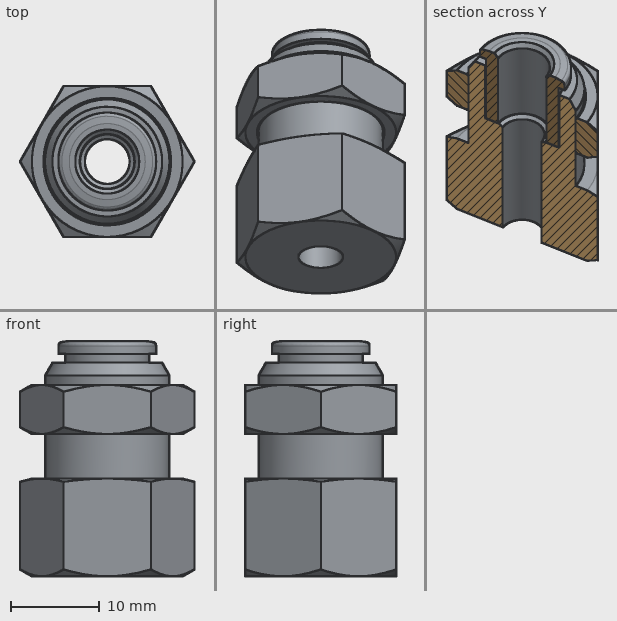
import cadquery as cq
import math

total_height = 26.5
base_hex_height = 11.0
nut_bottom = 16.0
nut_top = 21.55
body_top = 24.04
flange_bottom = 25.02
sleeve_bottom = 15.9

hex_across_flats = 17.0
hex_across_corners = hex_across_flats / math.cos(math.radians(30))
hex_face_diameter = 16.95
steep_bevel_angle = 30.0
shallow_bevel_angle = 15.0

barrel_diameter = 14.0
barrel_nose_diameter = 12.35
barrel_nose_angle = 30.0
passage_diameter = 5.0
seat_diameter = 6.1
recess_diameter = 9.6
seat_angle = 30.0

nut_countersink = 0.19

sleeve_diameter = 9.5
sleeve_bore_diameter = 6.2
flange_diameter = 11.02
entry_diameter = 7.2
entry_angle = 45.0
crown_flat_diameter = 8.55
crown_drop = 0.19
crown_fillet = 0.48


def revolve_profile(points):
    """Turn a closed (radius, height) outline around the Z axis."""
    return cq.Workplane("XZ").polyline(points).close().revolve(360, (0, 0, 0), (0, 1, 0))


def beveled_hexagon(bottom, top, bottom_angle, top_angle):
    """Hexagonal prism whose corners are cut by a cone at each end."""
    prism = (
        cq.Workplane("XY")
        .workplane(offset=bottom)
        .polygon(6, hex_across_corners)
        .extrude(top - bottom)
    )
    face_radius = hex_face_diameter / 2
    outer_radius = hex_across_corners / 2 + 0.26
    bottom_rise = (outer_radius - face_radius) * math.tan(math.radians(bottom_angle))
    top_drop = (outer_radius - face_radius) * math.tan(math.radians(top_angle))
    envelope = revolve_profile([
        (0, bottom),
        (face_radius, bottom),
        (outer_radius, bottom + bottom_rise),
        (outer_radius, top - top_drop),
        (face_radius, top),
        (0, top),
    ])
    return prism.intersect(envelope)


def make_body():
    """Hexagonal base and round barrel, bored through and recessed for the sleeve."""
    barrel_radius = barrel_diameter / 2
    nose_radius = barrel_nose_diameter / 2
    nose_height = (barrel_radius - nose_radius) / math.tan(math.radians(barrel_nose_angle))
    barrel = revolve_profile([
        (0, 0),
        (barrel_radius, 0),
        (barrel_radius, body_top - nose_height),
        (nose_radius, body_top),
        (0, body_top),
    ])

    passage_radius = passage_diameter / 2
    seat_radius = seat_diameter / 2
    recess_radius = recess_diameter / 2
    seat_depth = (seat_radius - passage_radius) * math.tan(math.radians(seat_angle))
    bore = revolve_profile([
        (0, 0),
        (passage_radius, 0),
        (passage_radius, sleeve_bottom - seat_depth),
        (seat_radius, sleeve_bottom),
        (recess_radius, sleeve_bottom),
        (recess_radius, body_top),
        (0, body_top),
    ])
    base = beveled_hexagon(0, base_hex_height, steep_bevel_angle, shallow_bevel_angle)
    return base.union(barrel).cut(bore)


def make_nut():
    """Hexagonal nut that fits the barrel, countersunk at both ends."""
    bore_radius = barrel_diameter / 2
    countersink_radius = bore_radius + nut_countersink
    bore = revolve_profile([
        (0, nut_bottom),
        (countersink_radius, nut_bottom),
        (bore_radius, nut_bottom + nut_countersink),
        (bore_radius, nut_top - nut_countersink),
        (countersink_radius, nut_top),
        (0, nut_top),
    ])
    blank = beveled_hexagon(nut_bottom, nut_top, steep_bevel_angle, steep_bevel_angle)
    return blank.cut(bore)


def make_sleeve():
    """Flanged tube with a conical mouth and a slightly sloping, rounded crown."""
    bore_radius = sleeve_bore_diameter / 2
    entry_radius = entry_diameter / 2
    neck_radius = sleeve_diameter / 2
    flange_radius = flange_diameter / 2
    entry_depth = (entry_radius - bore_radius) * math.tan(math.radians(entry_angle))
    crown_rim_height = total_height - crown_drop
    sleeve = revolve_profile([
        (bore_radius, sleeve_bottom),
        (neck_radius, sleeve_bottom),
        (neck_radius, flange_bottom),
        (flange_radius, flange_bottom),
        (flange_radius, crown_rim_height),
        (crown_flat_diameter / 2, total_height),
        (entry_radius, total_height),
        (bore_radius, total_height - entry_depth),
    ])
    rim_edges = sleeve.edges("%CIRCLE").filter(
        lambda edge: abs(edge.radius() - flange_radius) < 0.003
        and abs(edge.Center().z - crown_rim_height) < 0.003
    )
    return rim_edges.fillet(crown_fillet)


body = make_body()
nut = make_nut()
sleeve = make_sleeve()

result = cq.Compound.makeCompound([body.val(), nut.val(), sleeve.val()])